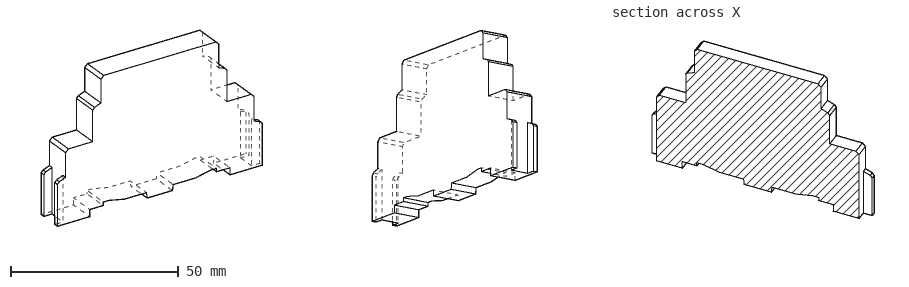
import cadquery as cq

thickness = 9.0
length = 72.6
height = 46.2

base_half = length / 2
ledge_inset = 2.9
lower_half = base_half - ledge_inset
waist_half = 23.8
top_half = waist_half - ledge_inset
lower_tier_top = 25.0
corner_chamfer = 1.0

base_ledge_top = 15.7
waist_ledge_top = 37.2
ledge_slope_drop = 0.85
ledge_edge_width = 0.65
ledge_edge_drop = 0.75

foot_inner_half = 24.85
recess_height = 2.4
notch_half = 20.05
notch_height = 3.55
notch_flat_end = 18.1
ramp_end = 12.6
boss_root_half = 4.75
boss_tip_half = 4.5
boss_bottom = 0.5

side_wall = 1.5
channel_width = thickness - 2 * side_wall


def ledge(outer_half, inner_half, top_z):
    """Points of one sloped ledge, from its outer wall up to the inner wall."""
    knee_z = top_z - ledge_slope_drop
    return [
        (outer_half, knee_z - ledge_edge_drop),
        (outer_half - ledge_edge_width, knee_z),
        (inner_half, top_z),
    ]


def chamfered_corner(half, top_z):
    """Points of one chamfered outer corner, from the wall to the top face."""
    return [
        (half, top_z - corner_chamfer),
        (half - corner_chamfer, top_z),
    ]


def housing_half_outline():
    """Half outline in the YZ plane, from the bottom boss around to the top face."""
    underside = [
        (boss_tip_half, boss_bottom),
        (boss_root_half, recess_height),
        (ramp_end, recess_height),
        (notch_flat_end, notch_height),
        (notch_half, notch_height),
        (notch_half, recess_height),
        (foot_inner_half, recess_height),
        (foot_inner_half, 0),
        (base_half, 0),
    ]
    steps = (
        ledge(base_half, lower_half, base_ledge_top)
        + chamfered_corner(lower_half, lower_tier_top)
        + [(waist_half, lower_tier_top)]
        + ledge(waist_half, top_half, waist_ledge_top)
        + chamfered_corner(top_half, height)
    )
    return underside + steps


def make_housing():
    """Plate with the stepped outline, symmetric about the XZ plane."""
    right_side = housing_half_outline()
    left_side = [(-y, z) for y, z in reversed(right_side)]
    outline = cq.Workplane("YZ").polyline(right_side + left_side).close()
    return outline.extrude(thickness / 2, both=True)


def make_end_channel(side):
    """Cutter for the channel at one end; its floor is flush with the lower tier wall."""
    channel_height = base_ledge_top
    return (
        cq.Workplane("XY")
        .center(0, side * (lower_half + ledge_inset / 2))
        .rect(channel_width, ledge_inset)
        .extrude(channel_height)
    )


result = make_housing()
for end_side in (-1, 1):
    result = result.cut(make_end_channel(end_side))